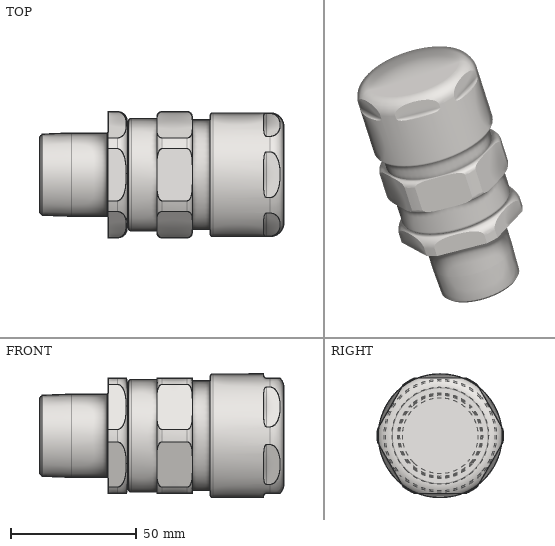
import cadquery as cq
import math


HEXAGON_SIDES = 6
ACROSS_FLATS = 46.0
CORNER_RADIUS = 50.5 / 2

TIP_RADIUS = 15.1
TIP_CHAMFER_LENGTH = 1.1
LEAD_IN_RADIUS = 16.2
LEAD_IN_END = 12.7
LEAD_IN_CURVE_RADIUS = 195.3
SPIGOT_RADIUS = 33.3 / 2
FLARE = 0.4
ENTRY_NUT_START = 27.4
ENTRY_NUT_LENGTH = 7.6
ENTRY_NUT_ROUNDING = 4.0
ENTRY_END = ENTRY_NUT_START + ENTRY_NUT_LENGTH

GROOVE_RADIUS = 38.8 / 2
GROOVE_WIDTH = 0.4
COLLAR_START = ENTRY_END + GROOVE_WIDTH
COLLAR_RADIUS = 45.1 / 2
COLLAR_ROUNDING = 1.4
MAIN_NUT_START = 46.9
MAIN_NUT_LENGTH = 14.2
MAIN_NUT_ROUNDING = 2.05
MAIN_NUT_END = MAIN_NUT_START + MAIN_NUT_LENGTH
NECK_RADIUS = 44.0 / 2

CAP_START = 68.2
CAP_END = 97.7
CAP_RADIUS = 49.5 / 2
CAP_FRONT_ROUNDING = 1.1
CAP_END_ROUNDING = 5.6
FLAT_START = 89.6
FLAT_ROOT_RADIUS = 1.2


def cylinder(start, end, radius):
    """Cylinder on the X axis between two x positions."""
    return cq.Workplane("YZ", origin=(start, 0, 0)).circle(radius).extrude(end - start)


def hexagon_prism(start, length):
    """Hexagonal prism along X with one pair of flats facing up and down."""
    across_corners = ACROSS_FLATS / math.cos(math.pi / HEXAGON_SIDES)
    return cq.Workplane("YZ", origin=(start, 0, 0)).polygon(HEXAGON_SIDES, across_corners).extrude(length)


def hexagon_nut(start, length, rounding, rounded_edges):
    """Hexagon with its corners turned down and the selected end edges rounded."""
    turned = cylinder(start, start + length, CORNER_RADIUS).edges(rounded_edges).fillet(rounding)
    return turned.intersect(hexagon_prism(start, length))


def make_entry_body():
    """Spigot with a chamfered tip and a slightly barrelled lead-in, running into its nut."""
    spigot = (
        cq.Workplane("XY")
        .lineTo(0, TIP_RADIUS)
        .lineTo(TIP_CHAMFER_LENGTH, LEAD_IN_RADIUS)
        .radiusArc((LEAD_IN_END, SPIGOT_RADIUS), LEAD_IN_CURVE_RADIUS)
        .lineTo(ENTRY_NUT_START - FLARE, SPIGOT_RADIUS)
        .lineTo(ENTRY_NUT_START, SPIGOT_RADIUS + FLARE)
        .lineTo(ENTRY_NUT_START, 0)
        .close()
        .revolve(360, (0, 0, 0), (1, 0, 0))
    )
    nut = hexagon_nut(ENTRY_NUT_START, ENTRY_NUT_LENGTH, ENTRY_NUT_ROUNDING, ">X")
    return spigot.union(nut)


def make_main_body():
    """Round collar behind a narrow groove, then the nut, then the neck up to the cap."""
    groove_floor = cylinder(ENTRY_END, COLLAR_START, GROOVE_RADIUS)
    collar = cylinder(COLLAR_START, MAIN_NUT_START, COLLAR_RADIUS).edges("<X").fillet(COLLAR_ROUNDING)
    nut = hexagon_nut(MAIN_NUT_START, MAIN_NUT_LENGTH, MAIN_NUT_ROUNDING, "%CIRCLE")
    neck = cylinder(MAIN_NUT_END, CAP_START, NECK_RADIUS)
    return groove_floor.union(collar).union(nut).union(neck)


def flat_cutter():
    """Block that cuts the top flat, with a concave rounding where the flat begins."""
    return (
        cq.Workplane("XZ", origin=(FLAT_START, CAP_RADIUS, ACROSS_FLATS / 2))
        .moveTo(FLAT_ROOT_RADIUS, 0)
        .radiusArc((0, FLAT_ROOT_RADIUS), FLAT_ROOT_RADIUS)
        .lineTo(0, CAP_RADIUS)
        .lineTo(CAP_END - FLAT_START, CAP_RADIUS)
        .lineTo(CAP_END - FLAT_START, 0)
        .close()
        .extrude(2 * CAP_RADIUS)
    )


def make_cap():
    """Round cap with both rims rounded and six wrench flats at its end."""
    cap_body = (
        cylinder(CAP_START, CAP_END, CAP_RADIUS)
        .edges("<X")
        .fillet(CAP_FRONT_ROUNDING)
        .edges(">X")
        .fillet(CAP_END_ROUNDING)
    )
    cutter = flat_cutter()
    for side in range(HEXAGON_SIDES):
        cap_body = cap_body.cut(cutter.rotate((0, 0, 0), (1, 0, 0), side * 360 / HEXAGON_SIDES))
    return cap_body


entry_body = make_entry_body()
main_body = make_main_body()
cap = make_cap()

result = cq.Compound.makeCompound([entry_body.val(), main_body.val(), cap.val()])